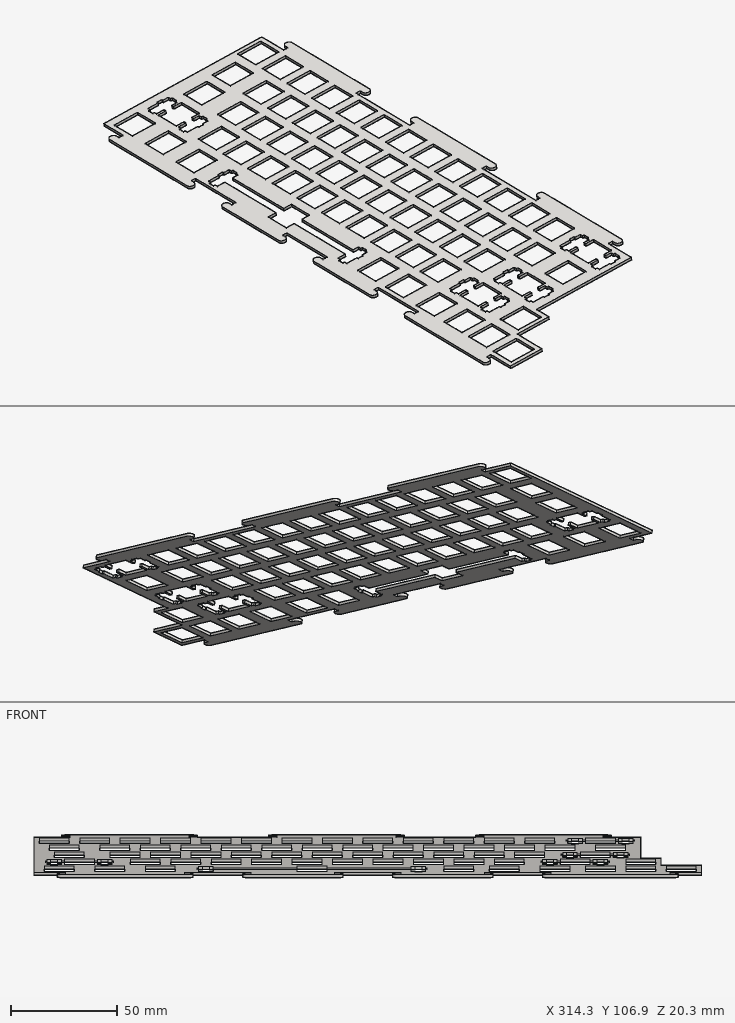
import cadquery as cq

KEY_PITCH = 19.05
ROW_COUNT = 5
SWITCH_SIZE = 14.0

PLATE_THICKNESS = 1.5
PLATE_TILT = 10.0
PLATE_DEPTH = ROW_COUNT * KEY_PITCH
UPPER_WIDTH = 15.0 * KEY_PITCH
SHIFT_WIDTH = 15.5 * KEY_PITCH
BOTTOM_WIDTH = 16.5 * KEY_PITCH

TAB_REACH = 6.497
FLANGE_DEPTH = 4.0
SLOT_DEPTH = TAB_REACH - FLANGE_DEPTH
FLANGE_OVERHANG = 4.0
LONG_TAB = 64.0
SHORT_TAB = 47.4
FIRST_REAR_TAB_X = 44.9
REAR_TAB_SPACING = 97.5
REAR_TAB_COUNT = 3
REAR_TABS = [(FIRST_REAR_TAB_X + i * REAR_TAB_SPACING, LONG_TAB) for i in range(REAR_TAB_COUNT)]
FRONT_TABS = [(42.95, LONG_TAB), (121.9, SHORT_TAB), (192.5, SHORT_TAB), (271.35, LONG_TAB)]

STAB_HALF_WIDTH = 3.375
STAB_TOP = 5.53
STAB_BOTTOM = -6.77
STAB_NUB_HALF_WIDTH = 1.65
STAB_NUB_TOP = 6.45
STAB_NUB_BOTTOM = -7.75
STAB_NOTCH_REACH = 4.2
STAB_NOTCH_TOP = 2.3
STAB_NOTCH_BOTTOM = -0.5
WIRE_HALF_WIDTH = 2.3
SHORT_STAB_OFFSET = 11.9
SPACEBAR_STAB_OFFSET = 50.0

KEY_ROWS = [
    [0.5 + i for i in range(13)] + [14.0],
    [0.75] + [2.0 + i for i in range(12)] + [14.25],
    [0.875] + [2.25 + i for i in range(11)] + [13.875],
    [1.125] + [2.75 + i for i in range(10)] + [13.375, 15.0],
    [0.625, 1.875, 3.125, 6.875, 10.5, 11.625, 12.875, 14.0, 15.0, 16.0],
]

STABILIZED_KEYS = [
    (0, 14.0, SHORT_STAB_OFFSET),
    (2, 13.875, SHORT_STAB_OFFSET),
    (3, 1.125, SHORT_STAB_OFFSET),
    (3, 13.375, SHORT_STAB_OFFSET),
    (4, 6.875, SPACEBAR_STAB_OFFSET),
]


def box(x_min, x_max, y_min, y_max):
    """Rectangular block through the plate thickness."""
    return (
        cq.Workplane("XY")
        .moveTo((x_min + x_max) / 2, (y_min + y_max) / 2)
        .rect(x_max - x_min, y_max - y_min)
        .extrude(PLATE_THICKNESS)
    )


def row_y(row):
    return PLATE_DEPTH - (row + 0.5) * KEY_PITCH


def plate_body():
    """Flat plate whose right edge steps out over the two front rows."""
    return (
        cq.Workplane("XY")
        .moveTo(0, 0)
        .lineTo(BOTTOM_WIDTH, 0)
        .lineTo(BOTTOM_WIDTH, KEY_PITCH)
        .lineTo(SHIFT_WIDTH, KEY_PITCH)
        .lineTo(SHIFT_WIDTH, 2 * KEY_PITCH)
        .lineTo(UPPER_WIDTH, 2 * KEY_PITCH)
        .lineTo(UPPER_WIDTH, PLATE_DEPTH)
        .lineTo(0, PLATE_DEPTH)
        .close()
        .extrude(PLATE_THICKNESS)
    )


def mounting_tab(center_x, length, edge_y, outward):
    """Tab on a plate edge; outward is +1 for the rear edge and -1 for the front edge."""
    neck_half = length / 2 - FLANGE_OVERHANG
    flange_y = edge_y + outward * (SLOT_DEPTH + FLANGE_DEPTH / 2)
    neck_ends = sorted([edge_y, flange_y])
    neck = box(center_x - neck_half, center_x + neck_half, *neck_ends)
    flange = (
        cq.Workplane("XY")
        .moveTo(center_x, flange_y)
        .slot2D(length, FLANGE_DEPTH)
        .extrude(PLATE_THICKNESS)
    )
    return neck.union(flange)


def switch_cutter(center_x, center_y):
    half = SWITCH_SIZE / 2
    return box(center_x - half, center_x + half, center_y - half, center_y + half)


def stabilizer_cutter(center_x, center_y, side):
    """One stabilizer opening; side is the direction of its outer notch along X."""
    body = box(-STAB_HALF_WIDTH, STAB_HALF_WIDTH, STAB_BOTTOM, STAB_TOP)
    nubs = box(-STAB_NUB_HALF_WIDTH, STAB_NUB_HALF_WIDTH, STAB_NUB_BOTTOM, STAB_NUB_TOP)
    notch_ends = sorted([0, side * STAB_NOTCH_REACH])
    notch = box(*notch_ends, STAB_NOTCH_BOTTOM, STAB_NOTCH_TOP)
    return body.union(nubs).union(notch).translate((center_x, center_y, 0))


plate = plate_body()
for tab_x, tab_length in REAR_TABS:
    plate = plate.union(mounting_tab(tab_x, tab_length, PLATE_DEPTH, 1))
for tab_x, tab_length in FRONT_TABS:
    plate = plate.union(mounting_tab(tab_x, tab_length, 0, -1))

for row, key_centers in enumerate(KEY_ROWS):
    for key_center in key_centers:
        plate = plate.cut(switch_cutter(key_center * KEY_PITCH, row_y(row)))

for row, key_center, offset in STABILIZED_KEYS:
    key_x = key_center * KEY_PITCH
    key_y = row_y(row)
    wire_slot = box(key_x - offset, key_x + offset, key_y - WIRE_HALF_WIDTH, key_y + WIRE_HALF_WIDTH)
    plate = plate.cut(wire_slot)
    for side in (-1, 1):
        plate = plate.cut(stabilizer_cutter(key_x + side * offset, key_y, side))

result = plate.translate((-BOTTOM_WIDTH / 2, -PLATE_DEPTH / 2, -PLATE_THICKNESS / 2)).rotate(
    (0, 0, 0), (1, 0, 0), PLATE_TILT
)